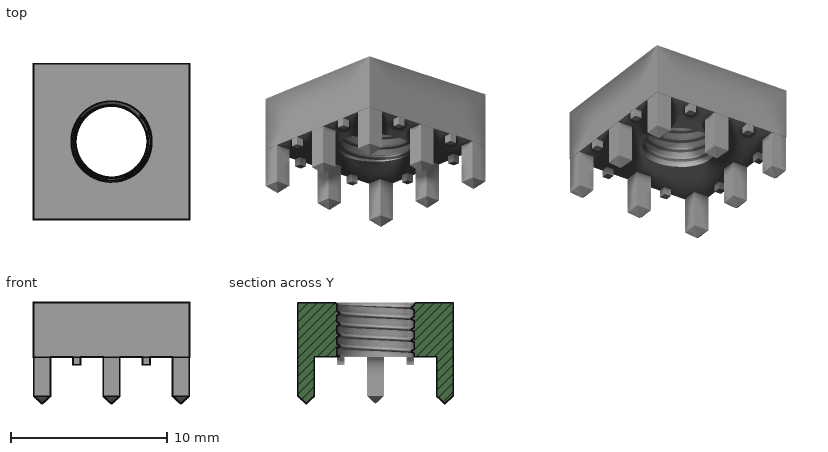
import cadquery as cq
import math

side = 10.0
body_height = 3.5

pin_pitch = 4.44
pin_width = 1.08
pin_straight = 2.5
pin_point = 0.5
tip_width = 0.002

stud_width = 0.5
stud_height = 0.5
stud_edge_offset = pin_pitch + (pin_width - stud_width) / 2

root_radius = 2.48
crest_radius = 2.28
pitch = 0.7
crest_round = 0.08
flank_angle = math.radians(30)
mouth_radius = 2.59
thread_phase = 176.0
embed = 0.05


def pin_places():
    """Centres of the eight long pins."""
    steps = (-pin_pitch, 0, pin_pitch)
    return [(x, y) for x in steps for y in steps if (x, y) != (0, 0)]


def stud_places():
    """Centres of the eight short studs, two on each side of the square."""
    halves = (-pin_pitch / 2, pin_pitch / 2)
    ends = (-stud_edge_offset, stud_edge_offset)
    return [(x, y) for x in halves for y in ends] + [(x, y) for x in ends for y in halves]


def pins():
    shanks = (
        cq.Workplane("XY")
        .pushPoints(pin_places())
        .rect(pin_width, pin_width)
        .extrude(-pin_straight)
    )
    taper = math.degrees(math.atan((pin_width - tip_width) / 2 / pin_point))
    points = (
        cq.Workplane("XY", origin=(0, 0, -pin_straight))
        .pushPoints(pin_places())
        .rect(pin_width, pin_width)
        .extrude(-pin_point, taper=taper)
    )
    return shanks.union(points)


def studs():
    return cq.Workplane("XY").pushPoints(stud_places()).rect(stud_width, stud_width).extrude(-stud_height)


def thread_ridge():
    """Helical ridge, longer than the hole by a pitch at each end."""
    length = body_height + 2 * pitch
    round_start = crest_radius + crest_round
    outer_radius = root_radius + embed
    outer_half = crest_round + (outer_radius - round_start) * math.tan(flank_angle)
    profile = (
        cq.Workplane("XZ")
        .moveTo(outer_radius, -outer_half)
        .lineTo(round_start, -crest_round)
        .threePointArc((crest_radius, 0), (round_start, crest_round))
        .lineTo(outer_radius, outer_half)
        .close()
    )
    helix = cq.Wire.makeHelix(pitch, length, root_radius)
    ridge = profile.sweep(cq.Workplane(helix), isFrenet=True)
    return ridge.translate((0, 0, -pitch)).rotate((0, 0, 0), (0, 0, 1), thread_phase)


def hole_mouth():
    """45 degree countersink, taken to its apex so that it clears the thread crests."""
    apex = cq.Vector(0, 0, body_height - mouth_radius)
    return cq.Workplane(cq.Solid.makeCone(0, mouth_radius, mouth_radius, pnt=apex))


block = cq.Workplane("XY").rect(side, side).extrude(body_height)
bored = block.cut(cq.Workplane("XY").circle(root_radius).extrude(body_height))
thread = thread_ridge().intersect(block)
threaded = bored.union(thread).cut(hole_mouth())
result = threaded.union(pins()).union(studs())